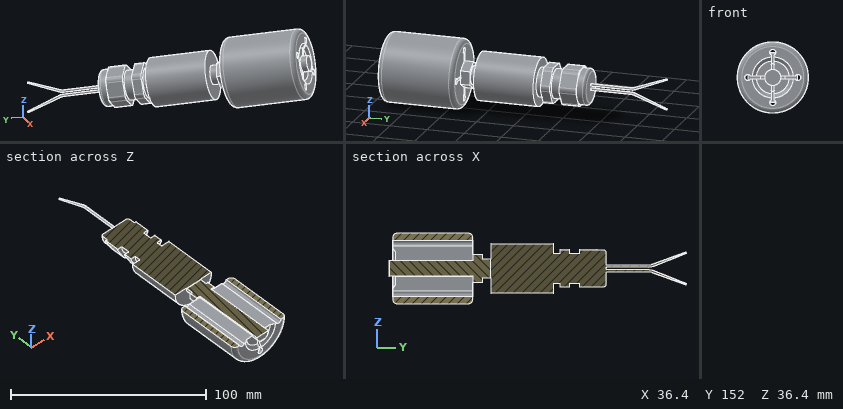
import cadquery as cq
import math


FLOAT_RADIUS = 18.2
FLOAT_FRONT = 1.8
FLOAT_LENGTH = 41.0
FLOAT_BACK = FLOAT_FRONT + FLOAT_LENGTH
FLOAT_FILLET = 2.5
RECESS_MOUTH_RADIUS = 10.5
RECESS_FLOOR_RADIUS = 8.4
RECESS_DEPTH = 1.5
RELIEF_HOLE_RADIUS = 1.5
RELIEF_HOLE_OFFSET = 12.8
RELIEF_HOLE_COUNT = 4
SLOT_WIDTH = 1.4

ROD_RADIUS = 4.1
STEM_HEX_APOTHEM = 6.2
STEM_HEX_LENGTH = 5.0
STEM_HEX_BACK = FLOAT_BACK + STEM_HEX_LENGTH
STEM_NECK_RADIUS = 5.0
STEM_NECK_LENGTH = 4.1

SLEEVE_RADIUS = 12.8
SLEEVE_FRONT = STEM_HEX_BACK + STEM_NECK_LENGTH
SLEEVE_LENGTH = 32.0
SLEEVE_BACK = SLEEVE_FRONT + SLEEVE_LENGTH
GLAND_NECK_RADIUS = 7.8
SLEEVE_TO_LOCK_NUT = 3.2
LOCK_NUT_FRONT = SLEEVE_BACK + SLEEVE_TO_LOCK_NUT
LOCK_NUT_LENGTH = 5.0
NUT_GAP = 5.0
GLAND_NUT_FRONT = LOCK_NUT_FRONT + LOCK_NUT_LENGTH + NUT_GAP
GLAND_NUT_LENGTH = 9.1
GLAND_NUT_BACK = GLAND_NUT_FRONT + GLAND_NUT_LENGTH
NUT_APOTHEM = 9.5
NUT_CORNER_FILLET = 2.9
CAP_RADIUS = NUT_APOTHEM
CAP_LENGTH = 4.7
CAP_BACK = GLAND_NUT_BACK + CAP_LENGTH
CAP_FILLET = 1.5

WIRE_RADIUS = 0.65
WIRE_TIP_RADIUS = 0.38
WIRE_OFFSET = 1.15
WIRE_BEND_START = 132.7
WIRE_BEND_RADIUS = 5.3
WIRE_SPREAD_ANGLE = 20.8
WIRE_END = 152.0


def cross_section(y):
    """Workplane normal to the axis at y, with its normal along +Y and its local y along +Z."""
    return cq.Workplane(cq.Plane(origin=(0, y, 0), xDir=(-1, 0, 0), normal=(0, 1, 0)))


def cylinder(radius, start, length):
    return cross_section(start).circle(radius).extrude(length)


def hexagonal_prism(apothem, start, length):
    """Hexagonal prism along Y with flats on top and bottom."""
    corner_diameter = 2 * apothem / math.cos(math.pi / 6)
    return cross_section(start).polygon(6, corner_diameter).extrude(length)


def make_float():
    body = cylinder(FLOAT_RADIUS, FLOAT_FRONT, FLOAT_LENGTH).edges().fillet(FLOAT_FILLET)
    recess = (
        cross_section(FLOAT_FRONT)
        .circle(RECESS_MOUTH_RADIUS)
        .workplane(offset=RECESS_DEPTH)
        .circle(RECESS_FLOOR_RADIUS)
        .loft()
    )
    relief_holes = (
        cross_section(FLOAT_FRONT)
        .polarArray(RELIEF_HOLE_OFFSET, 0, 360, RELIEF_HOLE_COUNT)
        .circle(RELIEF_HOLE_RADIUS)
        .extrude(FLOAT_LENGTH)
    )
    slot_span = 2 * RELIEF_HOLE_OFFSET
    slots = (
        cross_section(FLOAT_FRONT)
        .rect(slot_span, SLOT_WIDTH)
        .extrude(FLOAT_LENGTH)
        .union(cross_section(FLOAT_FRONT).rect(SLOT_WIDTH, slot_span).extrude(FLOAT_LENGTH))
    )
    bore = cylinder(ROD_RADIUS, FLOAT_FRONT, FLOAT_LENGTH)
    return body.cut(recess).cut(relief_holes).cut(slots).cut(bore)


def make_stem():
    rod = cylinder(ROD_RADIUS, 0, FLOAT_BACK)
    hexagon = hexagonal_prism(STEM_HEX_APOTHEM, FLOAT_BACK, STEM_HEX_LENGTH)
    upright_hexagon = hexagon.rotate((0, 0, 0), (0, 1, 0), 90)
    neck = cylinder(STEM_NECK_RADIUS, STEM_HEX_BACK, STEM_NECK_LENGTH)
    return rod.union(upright_hexagon).union(neck)


def make_nut(start, length):
    """Hexagonal nut with flats on top and bottom and rounded corners."""
    blank = hexagonal_prism(NUT_APOTHEM, start, length)
    return blank.edges("|Y").fillet(NUT_CORNER_FILLET)


def make_wire(side):
    """One wire leaving the gland above (side = 1) or below (side = -1) the axis, tapering to its tip."""
    angle = math.radians(WIRE_SPREAD_ANGLE)

    def on_bend(turn):
        y = WIRE_BEND_START + WIRE_BEND_RADIUS * math.sin(turn)
        z = WIRE_OFFSET + WIRE_BEND_RADIUS * (1 - math.cos(turn))
        return (y, side * z)

    bend_end = on_bend(angle)
    path = (
        cq.Workplane("YZ")
        .moveTo(CAP_BACK, side * WIRE_OFFSET)
        .lineTo(*on_bend(0))
        .threePointArc(on_bend(angle / 2), bend_end)
    )
    start = cross_section(CAP_BACK).center(0, side * WIRE_OFFSET)
    straight_and_bend = start.circle(WIRE_RADIUS).sweep(path)
    taper_length = (WIRE_END - WIRE_TIP_RADIUS * math.sin(angle) - bend_end[0]) / math.cos(angle)
    taper_plane = cq.Plane(
        origin=(0, *bend_end),
        xDir=(1, 0, 0),
        normal=(0, math.cos(angle), side * math.sin(angle)),
    )
    taper = (
        cq.Workplane(taper_plane)
        .circle(WIRE_RADIUS)
        .workplane(offset=taper_length)
        .center(WIRE_TIP_RADIUS - WIRE_RADIUS, 0)
        .circle(WIRE_TIP_RADIUS)
        .loft()
    )
    return straight_and_bend.union(taper)


def make_housing():
    sleeve = cylinder(SLEEVE_RADIUS, SLEEVE_FRONT, SLEEVE_LENGTH)
    gland_neck = cylinder(GLAND_NECK_RADIUS, SLEEVE_BACK, GLAND_NUT_FRONT - SLEEVE_BACK)
    cap = cylinder(CAP_RADIUS, GLAND_NUT_BACK, CAP_LENGTH).edges(">Y").fillet(CAP_FILLET)
    housing = (
        sleeve.union(gland_neck)
        .union(make_nut(LOCK_NUT_FRONT, LOCK_NUT_LENGTH))
        .union(make_nut(GLAND_NUT_FRONT, GLAND_NUT_LENGTH))
        .union(cap)
    )
    for side in (1, -1):
        housing = housing.union(make_wire(side))
    return housing


float_body = make_float()
stem = make_stem()
housing = make_housing()

result = cq.Compound.makeCompound([float_body.val(), stem.val(), housing.val()])